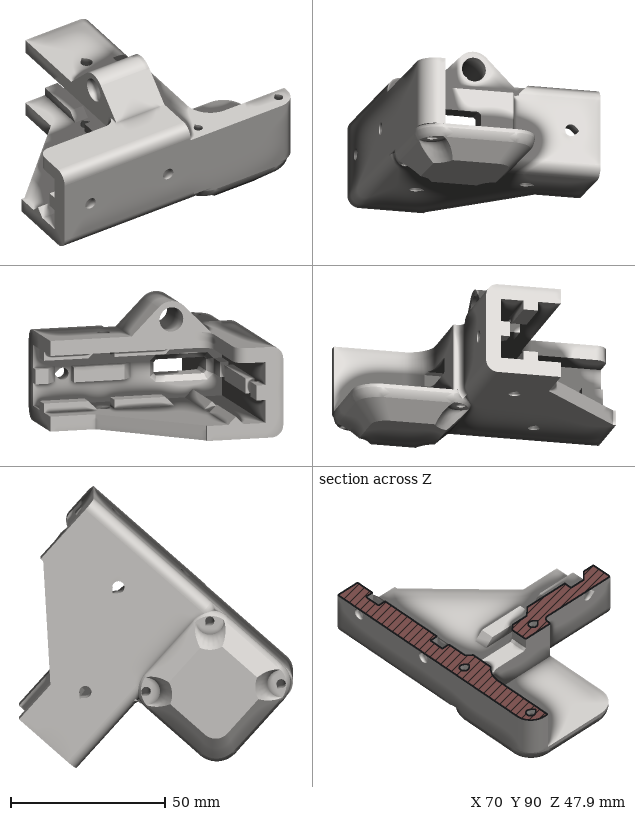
import cadquery as cq
import math

LENGTH_X = 70.0
LENGTH_Y = 90.0
FRAME_HEIGHT = 30.0
CAVITY_HEIGHT = 20.1
WALL = (FRAME_HEIGHT - CAVITY_HEIGHT) / 2
SIDE_WALL = 6.0
ARM_FRONT = 30.0
ROUNDING = 4.0
CAVITY_BACK = ARM_FRONT + CAVITY_HEIGHT
FRAME_BACK = CAVITY_BACK + WALL
CAVITY_RIGHT = LENGTH_X - SIDE_WALL
CAVITY_TOP = WALL + CAVITY_HEIGHT
MID_HEIGHT = FRAME_HEIGHT / 2
ARM_MIDDLE = (ARM_FRONT + CAVITY_BACK) / 2

BRACE_LEFT = 15.3
BRACE_FRONT = 1.1
BRACE_RIGHT = BRACE_LEFT + ARM_FRONT - BRACE_FRONT
LEG_ROOF_LEFT = 54.2

LUG_X = 40.95
LUG_Z = 34.9
LUG_RADIUS = 6.0
LUG_HOLE = 8.0
LUG_BACK = 48.6

RIB_WIDTH = 4.95
RIB_HEIGHT = 3.0
BACK_RIB_SPANS = [(0, 7.4), (13.0, 33.0)]
ARM_RIB_SPANS = [(0, 18.1), (23.85, 44.1)]
SIDE_RIB_SPANS = [(0, 7.1), (12.9, 37.3), (42.7, CAVITY_BACK)]
RIDGE_SPANS = [(0, 22.05), (27.7, CAVITY_BACK)]
RIDGE_X = 54.0
RIDGE_HEIGHT = 2.6

BOLT_HOLE = 4.0
BACK_HOLE_X = 10.0
ARM_HOLE_X = 21.1
LEG_HOLE_Y = 25.0
SIDE_HOLE_Y = [10.0, ARM_MIDDLE]

MOTOR_SIZE = 40.0
MOTOR_CENTER_X = LENGTH_X - MOTOR_SIZE / 2
MOTOR_CENTER_Y = LENGTH_Y - MOTOR_SIZE / 2
MOUNT_LEFT = LENGTH_X - MOTOR_SIZE
MOUNT_FRONT = LENGTH_Y - MOTOR_SIZE
DECK_THICKNESS = 0.1
MOUNT_TOP = CAVITY_TOP + DECK_THICKNESS
MOUNT_FLOOR = 3.0
MOUNT_BOTTOM = -7.0
MOUNT_CORNER = 8.0
FOOT_CORNER = 5.1
BACK_CORNER = 6.0
SKIRT_TOP = 0.0
FOOT_SIZE = 25.4
POCKET_RIGHT = 62.1
POCKET_FRONT = 58.2
POCKET_CORNER = 8.7
WALL_TIP_ROUNDING = 0.5
MOUNT_FILLET = 1.7
BLEND_SWEEP = 45.0
SCREW_HOLE = 3.0
SCREW_SPACING = 31.05
HEAD_SEAT = -1.0
HEAD_RECESS_RADIUS = 4.5
HEAD_RECESS_FLARE = 33.0

CLEARANCE_LEFT = 23.6
OPENING_LEFT = 26.7
LEDGE_RIGHT = MOUNT_LEFT - MOUNT_FILLET
LEDGE_THICKNESS = 0.4
LEDGE_TOP = CAVITY_TOP + LEDGE_THICKNESS

WINDOW_LEFT = 39.5
WINDOW_RIGHT = 60.9
WINDOW_HEIGHT = 9.0
WINDOW_CORNER = 1.9
WINDOW_FLARE = 1.8


def block(x_range, y_range, z_range):
    """Box between the given limits."""
    size = [high - low for low, high in (x_range, y_range, z_range)]
    return cq.Workplane("XY").box(*size, centered=False).translate((x_range[0], y_range[0], z_range[0]))


def teardrop(plane, diameter, depth):
    """Hole tool centred on the plane's origin, with a 45 degree point towards -X."""
    radius = diameter / 2
    tangent = radius / math.sqrt(2)
    return (
        cq.Workplane(plane)
        .moveTo(-tangent, tangent)
        .threePointArc((radius, 0), (-tangent, -tangent))
        .lineTo(-radius * math.sqrt(2), 0)
        .close()
        .extrude(depth)
    )


def vertical_teardrop(x, y, diameter, bottom, top):
    """Teardrop hole tool along Z."""
    return teardrop("XY", diameter, top - bottom).translate((x, y, bottom))


def frame():
    """Filleted L block, hollowed by the cavity, with its roof cut back over the floor brace."""
    body = (
        cq.Workplane("XY")
        .polyline([
            (0, ARM_FRONT),
            (BRACE_LEFT, ARM_FRONT),
            (BRACE_RIGHT, BRACE_FRONT),
            (BRACE_RIGHT, 0),
            (LENGTH_X, 0),
            (LENGTH_X, FRAME_BACK),
            (0, FRAME_BACK),
        ])
        .close()
        .extrude(FRAME_HEIGHT)
    )
    body = body.faces(">X").edges("|Y").fillet(ROUNDING)
    body = body.faces(">Y").edges("|X").fillet(ROUNDING)
    body = body.cut(block((0, CAVITY_RIGHT), (0, CAVITY_BACK), (WALL, CAVITY_TOP)))
    roof_cut = (
        cq.Workplane("XY", origin=(0, 0, CAVITY_TOP))
        .moveTo(0, 0)
        .lineTo(LEG_ROOF_LEFT + ROUNDING, 0)
        .radiusArc((LEG_ROOF_LEFT, ROUNDING), ROUNDING)
        .lineTo(LEG_ROOF_LEFT, ARM_FRONT - ROUNDING)
        .radiusArc((LEG_ROOF_LEFT - ROUNDING, ARM_FRONT), -ROUNDING)
        .lineTo(0, ARM_FRONT)
        .close()
        .extrude(FRAME_HEIGHT - CAVITY_TOP)
    )
    return body.cut(roof_cut)


def lug():
    """Round-topped lug with 45 degree flanks that run down to the roof."""
    tangent = LUG_RADIUS / math.sqrt(2)
    foot = LUG_Z - FRAME_HEIGHT + LUG_RADIUS * math.sqrt(2)
    return (
        cq.Workplane("XZ", origin=(LUG_X, LUG_BACK, 0))
        .moveTo(-foot, FRAME_HEIGHT)
        .lineTo(-tangent, LUG_Z + tangent)
        .threePointArc((0, LUG_Z + LUG_RADIUS), (tangent, LUG_Z + tangent))
        .lineTo(foot, FRAME_HEIGHT)
        .close()
        .extrude(LUG_BACK - ARM_FRONT)
    )


def ramped_rib(span):
    """Rib along X standing on the XY plane, centred on Y = 0, with a ramp at its +X end."""
    start, end = span
    return (
        cq.Workplane("XZ")
        .polyline([(start, 0), (end, 0), (end - RIB_HEIGHT, RIB_HEIGHT), (start, RIB_HEIGHT)])
        .close()
        .extrude(RIB_WIDTH / 2, both=True)
    )


def ribs():
    """All slot ribs: back wall, arm floor and roof, side wall, and the leg floor ridge."""
    parts = []
    for span in BACK_RIB_SPANS:
        rib = ramped_rib(span).rotate((0, 0, 0), (1, 0, 0), 90)
        parts.append(rib.translate((0, CAVITY_BACK, MID_HEIGHT)))
    for span in ARM_RIB_SPANS:
        rib = ramped_rib(span)
        parts.append(rib.translate((0, ARM_MIDDLE, WALL)))
        parts.append(rib.mirror("XY").translate((0, ARM_MIDDLE, CAVITY_TOP)))
    half_width = RIB_WIDTH / 2
    for span in SIDE_RIB_SPANS:
        parts.append(
            block(
                (CAVITY_RIGHT - RIB_HEIGHT, CAVITY_RIGHT),
                span,
                (MID_HEIGHT - half_width, MID_HEIGHT + half_width),
            )
        )
    for start, end in RIDGE_SPANS:
        parts.append(
            cq.Workplane("XZ", origin=(RIDGE_X, end, WALL))
            .polyline([(-RIDGE_HEIGHT, 0), (0, RIDGE_HEIGHT), (RIDGE_HEIGHT, 0)])
            .close()
            .extrude(end - start)
        )
    return parts


def mount_base():
    """Motor plate on a tapered underside, with a rounded rim between the two."""
    plate_outline = cq.Sketch().rect(MOTOR_SIZE, MOTOR_SIZE).vertices().fillet(MOUNT_CORNER)
    foot_outline = cq.Sketch().rect(FOOT_SIZE, FOOT_SIZE).vertices().fillet(FOOT_CORNER)
    raised = cq.Location(cq.Vector(0, 0, SKIRT_TOP - MOUNT_BOTTOM))
    skirt = cq.Workplane("XY").placeSketch(foot_outline, plate_outline.moved(raised)).loft()
    plate = (
        cq.Workplane("XY", origin=(0, 0, SKIRT_TOP - MOUNT_BOTTOM))
        .placeSketch(plate_outline)
        .extrude(MOUNT_FLOOR - SKIRT_TOP)
    )
    base = skirt.union(plate).translate((MOTOR_CENTER_X, MOTOR_CENTER_Y, MOUNT_BOTTOM))
    margin = 0.1
    reach = MOTOR_SIZE / 2 + margin
    rim = cq.selectors.BoxSelector(
        (MOTOR_CENTER_X - reach, MOTOR_CENTER_Y - reach, SKIRT_TOP - margin),
        (MOTOR_CENTER_X + reach, MOTOR_CENTER_Y + reach, SKIRT_TOP + margin),
    )
    return base.edges(rim).fillet(ROUNDING)


def mount_walls():
    """L-shaped wall around the motor pocket, blended into the back of the frame."""
    walls = block((MOUNT_LEFT, LENGTH_X), (CAVITY_BACK, LENGTH_Y), (MOUNT_FLOOR, MOUNT_TOP))
    walls = walls.edges("|Z and >X and >Y").fillet(BACK_CORNER)
    pocket = block((MOUNT_LEFT, POCKET_RIGHT), (POCKET_FRONT, LENGTH_Y), (MOUNT_FLOOR, MOUNT_TOP))
    pocket = pocket.edges("|Z and >X and <Y").fillet(POCKET_CORNER)
    walls = walls.cut(pocket)
    tip = cq.selectors.NearestToPointSelector((MOUNT_LEFT, POCKET_FRONT, MID_HEIGHT))
    walls = walls.edges("|Z").edges(tip).fillet(WALL_TIP_ROUNDING)
    return walls.union(mount_blend())


def mount_blend():
    """Concave fillet where the mount's left side meets the frame, curling under its rounded edge."""
    def profile():
        return (
            cq.Workplane("XY", origin=(MOUNT_LEFT, FRAME_BACK, ROUNDING))
            .moveTo(-MOUNT_FILLET, 0)
            .radiusArc((0, MOUNT_FILLET), -MOUNT_FILLET)
            .lineTo(0, 0)
            .close()
        )

    upright = profile().extrude(MOUNT_TOP - ROUNDING)
    curl = profile().revolve(BLEND_SWEEP, (0, -ROUNDING, 0), (-1, -ROUNDING, 0))
    return upright.union(curl)


def clearance():
    """Space above the mount, down to a thin ledge on its left, and an opening into the cavity."""
    space = block((CLEARANCE_LEFT, LENGTH_X), (LUG_BACK, FRAME_BACK), (LEDGE_TOP, FRAME_HEIGHT))
    space = space.edges("|Z and <X and >Y").fillet(ROUNDING)
    deck = block((LEDGE_RIGHT, LENGTH_X), (LUG_BACK, FRAME_BACK), (MOUNT_TOP, FRAME_HEIGHT))
    opening = block((OPENING_LEFT, CAVITY_RIGHT), (LUG_BACK, CAVITY_BACK), (CAVITY_TOP, FRAME_HEIGHT))
    return space.union(deck).union(opening)


def window():
    """Octagonal window that narrows at 45 degrees before passing through to the motor pocket."""
    width = WINDOW_RIGHT - WINDOW_LEFT
    middle = (WINDOW_LEFT + WINDOW_RIGHT) / 2
    passage_corner = WINDOW_CORNER - WINDOW_FLARE * (2 - math.sqrt(2))

    def octagon(inset, corner):
        outline = cq.Sketch().rect(width - 2 * inset, WINDOW_HEIGHT - 2 * inset)
        return outline.vertices().chamfer(corner)

    def wall_plane(y):
        return cq.Workplane("XZ", origin=(middle, y, MID_HEIGHT))

    throat = octagon(WINDOW_FLARE, passage_corner)
    inward = cq.Location(cq.Vector(0, 0, -WINDOW_FLARE))
    mouth = wall_plane(CAVITY_BACK).placeSketch(octagon(0, WINDOW_CORNER), throat.moved(inward)).loft()
    passage_length = POCKET_FRONT + POCKET_CORNER - CAVITY_BACK
    passage = wall_plane(CAVITY_BACK).placeSketch(throat).extrude(-passage_length)
    return mouth.union(passage)


def frame_holes():
    """Clamping holes in the walls of both channels."""
    back_hole = teardrop("XZ", BOLT_HOLE, WALL)
    holes = [
        back_hole.translate((BACK_HOLE_X, FRAME_BACK, MID_HEIGHT)),
        vertical_teardrop(ARM_HOLE_X, ARM_MIDDLE, BOLT_HOLE, 0, FRAME_HEIGHT),
        vertical_teardrop(RIDGE_X, LEG_HOLE_Y, BOLT_HOLE, 0, WALL),
    ]
    for y in SIDE_HOLE_Y:
        side = cq.Workplane("YZ", origin=(CAVITY_RIGHT, y, MID_HEIGHT))
        holes.append(side.circle(BOLT_HOLE / 2).extrude(SIDE_WALL))
    return holes


def screw_holes():
    """Three motor screw holes at the walled corners, each with a flared head recess below."""
    half = SCREW_SPACING / 2
    depth = HEAD_SEAT - MOUNT_BOTTOM
    holes = []
    for x_offset, y_offset in [(-half, -half), (half, -half), (half, half)]:
        x = MOTOR_CENTER_X + x_offset
        y = MOTOR_CENTER_Y + y_offset
        recess = cq.Workplane("XY", origin=(x, y, HEAD_SEAT)).circle(HEAD_RECESS_RADIUS)
        holes.append(recess.extrude(-depth, taper=-HEAD_RECESS_FLARE))
        holes.append(vertical_teardrop(x, y, SCREW_HOLE, HEAD_SEAT, MOUNT_TOP))
    return holes


def lug_hole():
    """Cross hole along Y through the lug."""
    start = cq.Workplane("XZ", origin=(LUG_X, LUG_BACK, LUG_Z))
    return start.circle(LUG_HOLE / 2).extrude(LUG_BACK - ARM_FRONT)


result = frame().union(mount_base()).union(mount_walls())
result = result.cut(clearance()).union(lug())
for rib in ribs():
    result = result.union(rib)
for hole in [lug_hole(), window()] + frame_holes() + screw_holes():
    result = result.cut(hole)